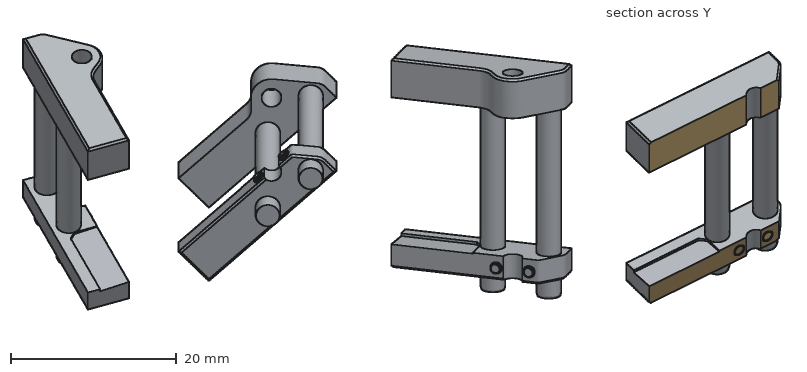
import cadquery as cq
import math

length = 21.2
total_depth = 7.85
total_height = 29.2

upper_thickness = 5.0
lower_thickness = 3.13
lower_bottom_z = 2.35
lower_top_z = lower_bottom_z + lower_thickness
upper_bottom_z = total_height - upper_thickness
arm_width = 5.35
jaw_chamfer = 0.25

ear_x = 5.73
ear_radius = 2.48
ear_y = total_depth - ear_radius
ear_hole_diameter = 2.4
flank_angle = math.radians(49.1)
valley_radius = 2.0
left_corner_radius = 1.5
lower_corner_radius = 0.58

pin_diameter = 3.0
pin_offset = 3.55
pin_y = 2.25
pin_lead_height = 0.3
pin_lead_depth = 0.1

relief_front_y = 1.58
relief_left_x = 10.8
relief_corner = 0.8
relief_front_depth = 0.35
relief_back_depth = 0.12

plunger_offset = 2.1
plunger_z = 3.88
sleeve_diameter = 1.43
tip_diameter = 1.15
plunger_depth = 1.17
sleeve_protrusion = 0.2
tip_protrusion = 0.45

apex_y = ear_y + ear_radius / math.cos(flank_angle)


def flank_offset(y):
    """Distance in X from the ear axis to a flank at the given Y."""
    return (apex_y - y) / math.tan(flank_angle)


left_corner_y = apex_y - ear_x * math.tan(flank_angle)


def round_upright_edge(body, x, y, radius):
    """Fillet the vertical edge that stands at (x, y)."""
    tolerance = 0.03
    low = (x - tolerance, y - tolerance, -total_height)
    high = (x + tolerance, y + tolerance, 2 * total_height)
    return body.edges("|Z").edges(cq.selectors.BoxSelector(low, high)).fillet(radius)


def make_ear_bore():
    """Cutter on the ear axis: a hole in the upper jaw and a rounded notch in the lower one."""
    return cq.Workplane("XY").center(ear_x, ear_y).circle(ear_hole_diameter / 2).extrude(total_height)


def make_upper_jaw():
    valley_x = ear_x + flank_offset(arm_width)
    outline = [
        (0, 0),
        (length, 0),
        (length, arm_width),
        (valley_x, arm_width),
        (ear_x, apex_y),
        (0, left_corner_y),
    ]
    base = cq.Workplane("XY").workplane(offset=upper_bottom_z)
    jaw = base.polyline(outline).close().extrude(upper_thickness)
    jaw = round_upright_edge(jaw, valley_x, arm_width, valley_radius)
    jaw = round_upright_edge(jaw, ear_x, apex_y, ear_radius)
    jaw = round_upright_edge(jaw, 0, left_corner_y, left_corner_radius)
    jaw = jaw.faces(">Z").chamfer(jaw_chamfer)
    return jaw.cut(make_ear_bore())


def make_relief():
    """Sloping cut, deepest at its front step, with one corner cut off at 45 degrees."""
    profile = [
        (relief_front_y, lower_top_z),
        (arm_width, lower_top_z),
        (arm_width, lower_top_z - relief_back_depth),
        (relief_front_y, lower_top_z - relief_front_depth),
    ]
    slope = cq.Workplane("YZ").workplane(offset=relief_left_x).polyline(profile).close()
    slope = slope.extrude(length - relief_left_x)
    corner = [
        (relief_left_x, relief_front_y),
        (relief_left_x + relief_corner, relief_front_y),
        (relief_left_x, relief_front_y + relief_corner),
    ]
    return slope.cut(cq.Workplane("XY").polyline(corner).close().extrude(total_height))


def make_lower_jaw():
    back_corner_x = ear_x - flank_offset(arm_width)
    outline = [
        (0, 0),
        (length, 0),
        (length, arm_width),
        (back_corner_x, arm_width),
        (0, left_corner_y),
    ]
    base = cq.Workplane("XY").workplane(offset=lower_bottom_z)
    jaw = base.polyline(outline).close().extrude(lower_thickness)
    jaw = round_upright_edge(jaw, back_corner_x, arm_width, lower_corner_radius)
    jaw = round_upright_edge(jaw, 0, left_corner_y, left_corner_radius)
    jaw = jaw.faces("<Z").chamfer(jaw_chamfer)
    return jaw.cut(make_ear_bore()).cut(make_relief())


def make_pin(x):
    pin = cq.Workplane("XY").center(x, pin_y).circle(pin_diameter / 2).extrude(upper_bottom_z)
    return pin.faces("<Z").chamfer(pin_lead_height, pin_lead_depth)


def make_rod(x, diameter, protrusion):
    """Round rod along Y that reaches into the lower jaw and stands out from its back."""
    start = cq.Vector(x, arm_width - plunger_depth, plunger_z)
    rod = cq.Solid.makeCylinder(diameter / 2, plunger_depth + protrusion, start, cq.Vector(0, 1, 0))
    return cq.Workplane(obj=rod)


upper_jaw = make_upper_jaw()
lower_jaw = make_lower_jaw()

pins = [make_pin(x) for x in (ear_x - pin_offset, ear_x + pin_offset)]
for pin in pins:
    lower_jaw = lower_jaw.cut(pin)

sleeves = []
tips = []
for x in (ear_x - plunger_offset, ear_x + plunger_offset):
    sleeve = make_rod(x, sleeve_diameter, sleeve_protrusion)
    tip = make_rod(x, tip_diameter, tip_protrusion)
    lower_jaw = lower_jaw.cut(sleeve)
    sleeves.append(sleeve.cut(tip))
    tips.append(tip)

small_bodies = [body.val() for body in pins + sleeves + tips]
result = cq.Compound.makeCompound([upper_jaw.val(), lower_jaw.val(), *small_bodies])